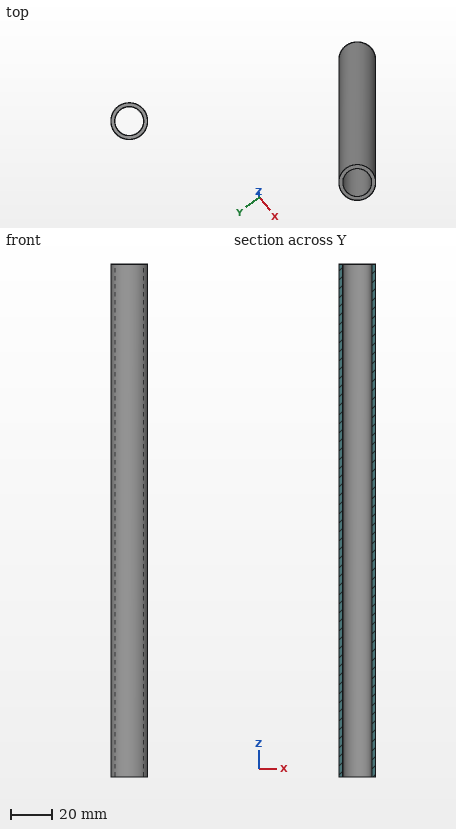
import cadquery as cq

length = 250.0
outer_diameter = 18.0
wall_thickness = 2.0
inner_diameter = outer_diameter - 2 * wall_thickness

result = (
    cq.Workplane("XY")
    .circle(outer_diameter / 2)
    .circle(inner_diameter / 2)
    .extrude(length)
)